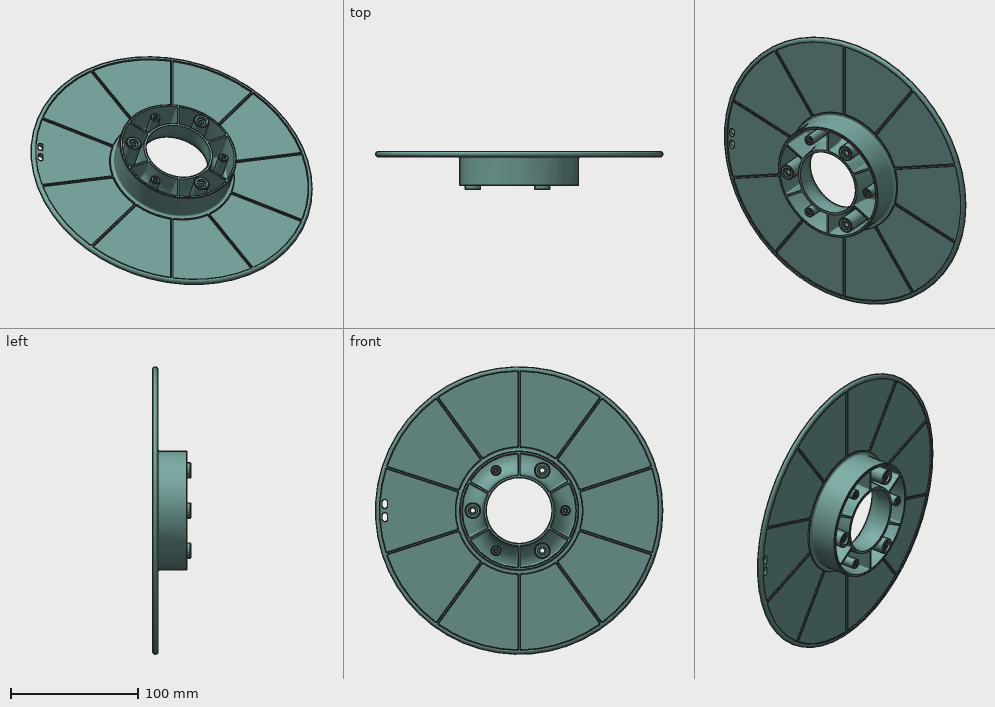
import cadquery as cq
import math


DISC_RADIUS = 113.0
DISC_THICKNESS = 4.3
PANEL_DEPTH = 1.0
PANEL_INNER_RADIUS = 50.2
PANEL_OUTER_RADIUS = 109.5
PANEL_CORNER_RADIUS = 1.1
DRAFT_RUN = 0.5
SPOKE_COUNT = 10
SPOKE_BASE_WIDTH = 2.0

SLOT_WIDTH = 4.0
SLOT_LENGTH = 6.8
SLOT_CORNER_RADIUS = 1.8
SLOT_CENTER_X = -105.5
SLOT_CENTER_Z = 5.2

HUB_RADIUS = 46.8
HUB_HEIGHT = 27.0
HUB_ROOT_FILLET = 1.4
RIM_CHAMFER = 0.5
SHELL = 1.8
TUBE_DRAFT_RUN = 1.0
WALL_DRAFT_RUN = 0.5
BORE_RADIUS = 25.8
FLARE_RADIUS = 18.0

HUB_RIB_COUNT = 6
RIB_TOP_WIDTH = 1.4
RIB_BASE_WIDTH = 2.7
POCKET_FILLET = 1.1

BOSS_CIRCLE_RADIUS = 36.5
BOSS_COUNT = 3
TALL_BOSS_RADIUS = 6.0
TALL_BOSS_HEIGHT = 30.0
TALL_BOSS_CHAMFER = 0.7
SCREW_HOLE_RADIUS = 2.0
COUNTERBORE_RADIUS = 3.6
COUNTERBORE_DEPTH = 2.3
SHORT_BOSS_RADIUS = 3.8
SHORT_BOSS_CHAMFER = 0.7
PILOT_RADIUS = 1.1
PILOT_COUNTERSINK = 0.7
PILOT_DEPTH = 13.5

TUBE_RADIUS = BORE_RADIUS + SHELL
FLARE_END_RADIUS = BORE_RADIUS + FLARE_RADIUS


def revolve_y(profile):
    """Turn a closed (radius, y) outline once around the Y axis."""
    return profile.close().revolve(360, (0, 0, 0), (0, 1, 0))


def edges_between(solid, back, front):
    """Edges whose centers lie strictly between two distances ahead of the back face."""
    margin = 0.02
    low = (-DISC_RADIUS, -front + margin, -DISC_RADIUS)
    high = (DISC_RADIUS, -back - margin, DISC_RADIUS)
    return solid.edges(cq.selectors.BoxSelector(low, high))


def cylinder_y(radius, x, z, front, length):
    """Cylinder whose front end is `front` ahead of the back face, running toward +Y."""
    plane = cq.Workplane("XZ", origin=(0, -front, 0))
    return plane.center(x, z).circle(radius).extrude(-length)


def radial_bar(base_width, top_width, base, top, inner, outer):
    """Tapered bar along +Z; its base and top are distances ahead of the back face."""
    return (
        cq.Workplane("XY", origin=(0, 0, inner))
        .moveTo(-base_width / 2, -base)
        .lineTo(base_width / 2, -base)
        .lineTo(top_width / 2, -top)
        .lineTo(-top_width / 2, -top)
        .close()
        .extrude(outer - inner)
    )


def around_y(solid, count):
    """Copies of a solid spread evenly around the Y axis."""
    return [solid.rotate((0, 0, 0), (0, 1, 0), i * 360 / count) for i in range(count)]


def first_sector(ring, bar, count):
    """The piece of a ring between a bar and the next of its evenly spread copies."""
    first_bar, next_bar = around_y(bar, count)[:2]
    step = 2 * math.pi / count
    reach = 2 * DISC_RADIUS
    wedge = (
        cq.Workplane("XZ")
        .lineTo(0, reach)
        .lineTo(reach * math.sin(step), reach * math.cos(step))
        .close()
        .extrude(HUB_HEIGHT)
    )
    return ring.intersect(wedge).cut(first_bar).cut(next_bar)


def disc_and_hub_blank():
    """Disc with a rounded edge and a filleted solid hub."""
    root_bend = HUB_ROOT_FILLET * (1 - math.sqrt(0.5))
    edge_round = DISC_THICKNESS / 2
    land_radius = DISC_RADIUS - edge_round
    edge_lean = edge_round * math.sqrt(0.5)
    profile = (
        cq.Workplane("XY")
        .lineTo(land_radius, 0)
        .threePointArc((land_radius + edge_lean, -edge_round + edge_lean), (DISC_RADIUS, -edge_round))
        .threePointArc((land_radius + edge_lean, -edge_round - edge_lean), (land_radius, -DISC_THICKNESS))
        .lineTo(HUB_RADIUS + HUB_ROOT_FILLET, -DISC_THICKNESS)
        .threePointArc(
            (HUB_RADIUS + root_bend, -DISC_THICKNESS - root_bend),
            (HUB_RADIUS, -DISC_THICKNESS - HUB_ROOT_FILLET),
        )
        .lineTo(HUB_RADIUS, -HUB_HEIGHT + RIM_CHAMFER)
        .lineTo(HUB_RADIUS - RIM_CHAMFER, -HUB_HEIGHT)
        .lineTo(0, -HUB_HEIGHT)
    )
    return revolve_y(profile)


def panel_recess():
    """One shallow sector between two spokes on the front of the disc."""
    floor = DISC_THICKNESS - PANEL_DEPTH
    ring = revolve_y(
        cq.Workplane("XY")
        .moveTo(PANEL_INNER_RADIUS, -floor)
        .lineTo(PANEL_OUTER_RADIUS, -floor)
        .lineTo(PANEL_OUTER_RADIUS + DRAFT_RUN, -DISC_THICKNESS)
        .lineTo(PANEL_INNER_RADIUS - DRAFT_RUN, -DISC_THICKNESS)
    )
    spoke_top_width = SPOKE_BASE_WIDTH - 2 * DRAFT_RUN
    spoke = radial_bar(SPOKE_BASE_WIDTH, spoke_top_width, floor, DISC_THICKNESS, HUB_RADIUS, DISC_RADIUS)
    sector = first_sector(ring, spoke, SPOKE_COUNT)
    return edges_between(sector, floor, DISC_THICKNESS).fillet(PANEL_CORNER_RADIUS)


def hub_pocket():
    """One filleted space between the hub wall, the flared tube and two ribs."""
    mouth_radius = HUB_RADIUS - SHELL
    root_radius = TUBE_RADIUS + TUBE_DRAFT_RUN
    arc_radius = FLARE_END_RADIUS - root_radius
    arc_center_y = -SHELL - arc_radius
    lean = arc_radius * math.sqrt(0.5)
    ring = revolve_y(
        cq.Workplane("XY")
        .moveTo(TUBE_RADIUS, -HUB_HEIGHT)
        .lineTo(root_radius, arc_center_y)
        .threePointArc((FLARE_END_RADIUS - lean, arc_center_y + lean), (FLARE_END_RADIUS, -SHELL))
        .lineTo(mouth_radius - WALL_DRAFT_RUN, -SHELL)
        .lineTo(mouth_radius, -HUB_HEIGHT)
    )
    rib = radial_bar(RIB_BASE_WIDTH, RIB_TOP_WIDTH, 0, HUB_HEIGHT, BORE_RADIUS, HUB_RADIUS)
    sector = first_sector(ring, rib, HUB_RIB_COUNT)
    return edges_between(sector, 0, HUB_HEIGHT).fillet(POCKET_FILLET)


def flared_bore():
    """Central hole, straight at the front and bell-mouthed at the back."""
    lean = FLARE_RADIUS * math.sqrt(0.5)
    return revolve_y(
        cq.Workplane("XY")
        .lineTo(FLARE_END_RADIUS, 0)
        .threePointArc((FLARE_END_RADIUS - lean, -FLARE_RADIUS + lean), (BORE_RADIUS, -FLARE_RADIUS))
        .lineTo(BORE_RADIUS, -HUB_HEIGHT)
        .lineTo(0, -HUB_HEIGHT)
    )


def boss_centers(first_angle):
    """Evenly spaced (x, z) places on the boss circle."""
    angles = [math.radians(first_angle + i * 360 / BOSS_COUNT) for i in range(BOSS_COUNT)]
    return [(BOSS_CIRCLE_RADIUS * math.cos(a), BOSS_CIRCLE_RADIUS * math.sin(a)) for a in angles]


def boss(radius, x, z, height, chamfer):
    """Round post from the hub floor with a chamfered front end."""
    return cylinder_y(radius, x, z, height, height - SHELL).faces("<Y").chamfer(chamfer)


def screw_hole(x, z):
    """Through hole with a counterbore in the front end of a tall boss."""
    hole = cylinder_y(SCREW_HOLE_RADIUS, x, z, TALL_BOSS_HEIGHT, TALL_BOSS_HEIGHT)
    return hole.union(cylinder_y(COUNTERBORE_RADIUS, x, z, TALL_BOSS_HEIGHT, COUNTERBORE_DEPTH))


def pilot_hole(x, z):
    """Blind hole with a countersunk mouth in the front end of a short boss."""
    hole = cylinder_y(PILOT_RADIUS, x, z, HUB_HEIGHT, PILOT_DEPTH)
    countersink = (
        cq.Workplane("XZ", origin=(0, -HUB_HEIGHT, 0))
        .center(x, z)
        .circle(PILOT_RADIUS + PILOT_COUNTERSINK)
        .workplane(offset=-PILOT_COUNTERSINK)
        .circle(PILOT_RADIUS)
        .loft()
    )
    return hole.union(countersink)


def rim_slot(z):
    """Rounded slot through the disc beside the rim."""
    return (
        cq.Workplane("XZ")
        .center(SLOT_CENTER_X, z)
        .rect(SLOT_WIDTH, SLOT_LENGTH)
        .extrude(DISC_THICKNESS)
        .edges("|Y")
        .fillet(SLOT_CORNER_RADIUS)
    )


tall_bosses = boss_centers(60)
short_bosses = boss_centers(0)

result = disc_and_hub_blank()
for recess in around_y(panel_recess(), SPOKE_COUNT):
    result = result.cut(recess)
for pocket in around_y(hub_pocket(), HUB_RIB_COUNT):
    result = result.cut(pocket)

for x, z in tall_bosses:
    result = result.union(boss(TALL_BOSS_RADIUS, x, z, TALL_BOSS_HEIGHT, TALL_BOSS_CHAMFER))
for x, z in short_bosses:
    result = result.union(boss(SHORT_BOSS_RADIUS, x, z, HUB_HEIGHT, SHORT_BOSS_CHAMFER))

result = result.cut(flared_bore())

for x, z in tall_bosses:
    result = result.cut(screw_hole(x, z))
for x, z in short_bosses:
    result = result.cut(pilot_hole(x, z))
for z in (-SLOT_CENTER_Z, SLOT_CENTER_Z):
    result = result.cut(rim_slot(z))